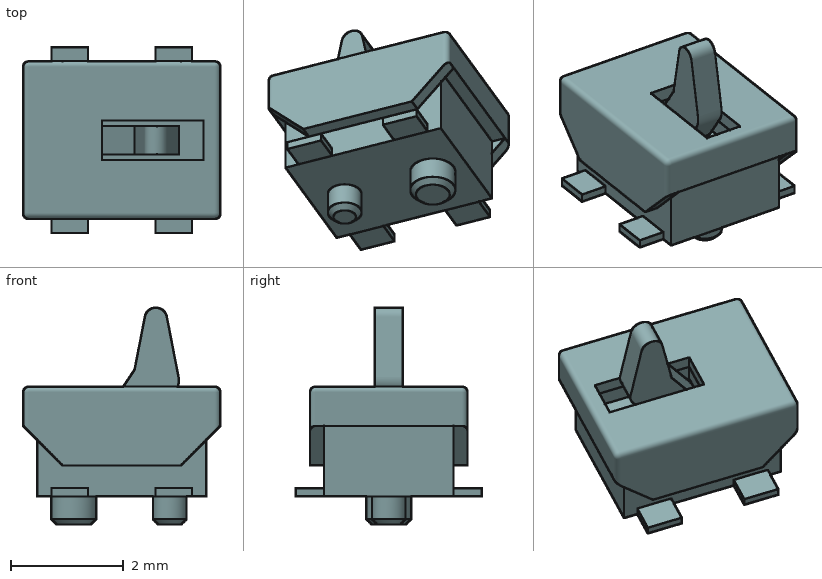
import cadquery as cq
import math


COVER_LENGTH = 3.5
COVER_WIDTH = 2.8
COVER_TOP = 1.95
SHEET = 0.25
END_WALL_BOTTOM = 1.25
SKIRT_BOTTOM = 0.55
COVER_ROUND = 0.1

BASE_LENGTH = COVER_LENGTH - 2 * SHEET
BASE_WIDTH = COVER_WIDTH - 2 * SHEET
BASE_TOP = COVER_TOP - SHEET

LEVER_THICKNESS = 0.5
LEVER_TOP = 3.35
TIP_X = 0.605
TIP_RADIUS = 0.2
TIP_Z = LEVER_TOP - TIP_RADIUS
LEVER_TAPER = math.radians(11)
KNEE_Z = 2.25
HEEL_Z = 1.995
HEEL_ROUND = 0.3
FOOT_SLOPE = 1.5

SLOT_LEFT = -0.35
SLOT_RIGHT = 1.45
SLOT_WIDTH = 0.7

TERMINAL_INNER_X = 0.595
TERMINAL_WIDTH = 0.65
TERMINAL_THICKNESS = 0.15
OVERALL_WIDTH = 3.3
TERMINAL_REACH = (OVERALL_WIDTH - BASE_WIDTH) / 2

PEG_LENGTH = 0.5
PEG_OFFSET = 0.85
PEG_CHAMFER = 0.1
LARGE_PEG_DIAMETER = 0.8
SMALL_PEG_DIAMETER = 0.6


def flank_offset(z):
    """Distance of a lever flank from the tip axis at height z."""
    return TIP_RADIUS / math.cos(LEVER_TAPER) + (TIP_Z - z) * math.tan(LEVER_TAPER)


KNEE_X = TIP_X - flank_offset(KNEE_Z)
HEEL_X = TIP_X + flank_offset(HEEL_Z)
SLOT_FLOOR = KNEE_Z - (KNEE_X - SLOT_LEFT) * FOOT_SLOPE


def box(length, width, bottom, top):
    """Box centred on the Z axis between two heights."""
    return cq.Workplane("XY").workplane(offset=bottom).rect(length, width).extrude(top - bottom)


def make_slot():
    return box(SLOT_RIGHT - SLOT_LEFT, SLOT_WIDTH, SLOT_FLOOR, COVER_TOP).translate(
        ((SLOT_LEFT + SLOT_RIGHT) / 2, 0, 0)
    )


def make_base():
    return box(BASE_LENGTH, BASE_WIDTH, 0, BASE_TOP).cut(make_slot())


def make_cover():
    cap = box(COVER_LENGTH, COVER_WIDTH, SKIRT_BOTTOM, COVER_TOP)
    cap = cap.edges("|Z or >Z").fillet(COVER_ROUND)

    half_length = COVER_LENGTH / 2
    taper = END_WALL_BOTTOM - SKIRT_BOTTOM
    corner = (
        cq.Workplane("XZ")
        .moveTo(half_length, END_WALL_BOTTOM)
        .lineTo(half_length, SKIRT_BOTTOM)
        .lineTo(half_length - taper, SKIRT_BOTTOM)
        .close()
        .extrude(COVER_WIDTH / 2, both=True)
    )
    cap = cap.cut(corner).cut(corner.mirror("YZ"))

    cap = cap.cut(box(COVER_LENGTH, BASE_WIDTH, SKIRT_BOTTOM, END_WALL_BOTTOM))

    cavity = box(BASE_LENGTH, BASE_WIDTH, SKIRT_BOTTOM, BASE_TOP)
    return cap.cut(cavity).cut(make_slot())


def make_lever():
    tangent_x = TIP_RADIUS * math.cos(LEVER_TAPER)
    tangent_z = TIP_Z + TIP_RADIUS * math.sin(LEVER_TAPER)
    foot_right = HEEL_X - (HEEL_Z - SLOT_FLOOR) / FOOT_SLOPE
    lever = (
        cq.Workplane("XZ")
        .moveTo(SLOT_LEFT, SLOT_FLOOR)
        .lineTo(KNEE_X, KNEE_Z)
        .lineTo(TIP_X - tangent_x, tangent_z)
        .threePointArc((TIP_X, LEVER_TOP), (TIP_X + tangent_x, tangent_z))
        .lineTo(HEEL_X, HEEL_Z)
        .lineTo(foot_right, SLOT_FLOOR)
        .close()
        .extrude(LEVER_THICKNESS / 2, both=True)
    )
    return lever.edges("|Y").edges(">X").fillet(HEEL_ROUND)


def make_terminal(side_x, side_y):
    centre_x = side_x * (TERMINAL_INNER_X + TERMINAL_WIDTH / 2)
    centre_y = side_y * (BASE_WIDTH + TERMINAL_REACH) / 2
    return box(TERMINAL_WIDTH, TERMINAL_REACH, 0, TERMINAL_THICKNESS).translate((centre_x, centre_y, 0))


def make_peg(x, diameter):
    peg = cq.Workplane("XY").center(x, 0).circle(diameter / 2).extrude(-PEG_LENGTH)
    return peg.faces("<Z").chamfer(PEG_CHAMFER)


base = make_base()
cover = make_cover()
lever = make_lever()
terminals = [make_terminal(side_x, side_y) for side_x in (-1, 1) for side_y in (-1, 1)]
pegs = [
    make_peg(x, diameter)
    for x, diameter in ((-PEG_OFFSET, LARGE_PEG_DIAMETER), (PEG_OFFSET, SMALL_PEG_DIAMETER))
]

result = cq.Compound.makeCompound(
    [body.solids().val() for body in (base, cover, lever, *terminals, *pegs)]
)